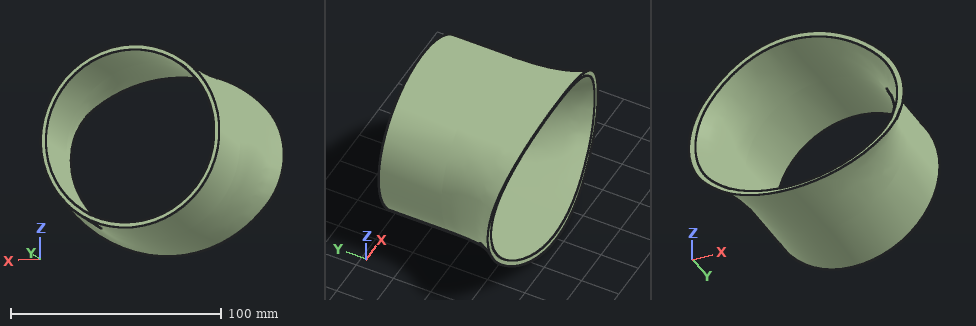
import cadquery as cq
import math

shapes = cq.occ_impl.shapes

tube_radius = 44.5
bore_radius = 41.9
wall = tube_radius - bore_radius
total_length = 72.4
tube_length = 33.9
mouth_half_width = 56.7
saddle_radius = 137.3

outer_oval_radius = 64.3
inner_oval_radius = 60.9

flare_length = total_length - tube_length
saddle_centre_y = -flare_length - math.sqrt(saddle_radius**2 - tube_radius**2)

side_depth = -(saddle_centre_y + saddle_radius)
side_flare = mouth_half_width - tube_radius
outer_flare_radius = (side_depth**2 + side_flare**2) / (2 * side_flare)
inner_flare_radius = outer_flare_radius + wall

ring_count = 7
points_per_ring = 48
joining_tolerance = 0.001


def arc_rise(depth, arc_radius):
    """Outward rise of an arc tangent to the tube, at a given depth into the flare."""
    return arc_radius - math.sqrt(arc_radius**2 - depth**2)


def saddle_depth(z):
    """Distance from the start of the flare to the saddle at height z."""
    return -(saddle_centre_y + math.sqrt(saddle_radius**2 - z**2))


def ray_to_circle(angle, centre_x, centre_z, radius):
    """Distance from the tube axis, along a ray, to a circle around the axis."""
    along = centre_x * math.cos(angle) + centre_z * math.sin(angle)
    return along + math.sqrt(radius**2 - centre_x**2 - centre_z**2 + along**2)


def oval_reach(angle, half_width, half_height, long_radius):
    """Reach of a four-arc oval from its centre; the angle lies in the first quadrant."""
    long_centre_z = half_height - long_radius
    side_radius = (long_radius**2 - half_width**2 - long_centre_z**2) / (2 * (long_radius - half_width))
    side_centre_x = half_width - side_radius
    join_direction = math.atan2(-long_centre_z, side_centre_x)
    join_x = long_radius * math.cos(join_direction)
    join_z = long_centre_z + long_radius * math.sin(join_direction)
    if angle > math.atan2(join_z, join_x):
        return ray_to_circle(angle, 0, long_centre_z, long_radius)
    return ray_to_circle(angle, side_centre_x, 0, side_radius)


def flare_ring(share, start_radius, flare_radius, long_radius):
    """Closed wire around the flare, a given share of the way from the tube to the mouth."""
    half_width = start_radius + arc_rise(side_depth, flare_radius)
    angles = [2 * math.pi * i / points_per_ring for i in range(points_per_ring + 1)]
    points = []
    for angle in angles[:-1]:
        x_part = math.cos(angle)
        z_part = math.sin(angle)
        quadrant_angle = math.atan2(abs(z_part), abs(x_part))
        rim_reach = oval_reach(quadrant_angle, half_width, start_radius, long_radius)
        rim_depth = saddle_depth(rim_reach * z_part)
        depth = share * rim_depth
        rise_share = arc_rise(depth, flare_radius) / arc_rise(rim_depth, flare_radius)
        reach = start_radius + (rim_reach - start_radius) * rise_share
        points.append(cq.Vector(reach * x_part, -depth, reach * z_part))
    return cq.Wire.assembleEdges([cq.Edge.makeSpline(points, periodic=True, parameters=angles)])


def flare_rings(start_radius, flare_radius, long_radius):
    """Wires, from the tube to the mouth, that one skin of the flare passes through."""
    return [
        flare_ring(i / (ring_count - 1), start_radius, flare_radius, long_radius)
        for i in range(ring_count)
    ]


outer_rings = flare_rings(tube_radius, outer_flare_radius, outer_oval_radius)
inner_rings = flare_rings(bore_radius, inner_flare_radius, inner_oval_radius)
outer_skin = shapes.loft(*outer_rings, compat=False)
inner_skin = shapes.loft(*inner_rings, compat=False)
rim = shapes.loft(outer_rings[-1], inner_rings[-1], ruled=True, compat=False)

tube = cq.Workplane("XZ").circle(tube_radius).circle(bore_radius).extrude(-tube_length)
tube_faces = tube.faces("not(<Y)").vals()

body = shapes.solid(outer_skin, inner_skin, rim, *tube_faces, tol=joining_tolerance)
result = cq.Workplane(body)